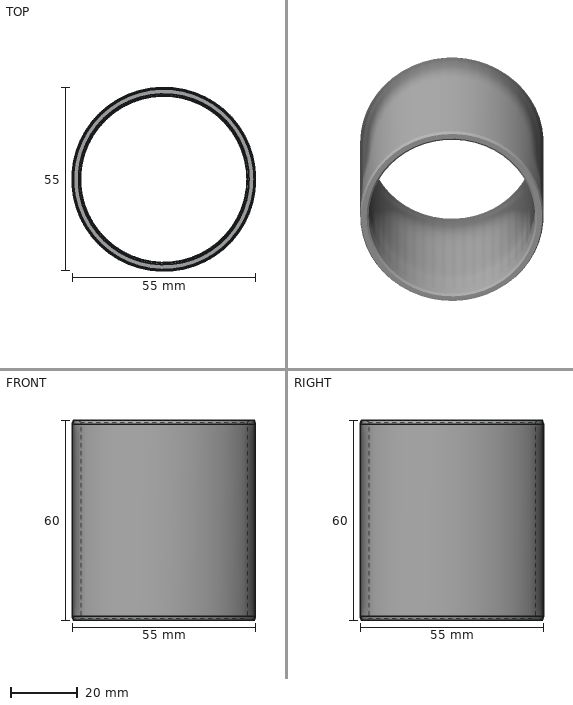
import cadquery as cq

length = 60.0
outer_diameter = 55.0
bore_diameter = 50.0

lead_in_length = 1.2
lead_in_depth = 0.4

bore_chamfer = 0.6

outer_radius = outer_diameter / 2
bore_radius = bore_diameter / 2
half_length = length / 2


def wall_section():
    """Half-section of the wall in the XZ plane: x is radius, y is height."""
    lead_in_radius = outer_radius - lead_in_depth
    chamfer_radius = bore_radius + bore_chamfer
    lead_in_height = half_length - lead_in_length
    chamfer_height = half_length - bore_chamfer
    return (
        cq.Workplane("XZ")
        .moveTo(bore_radius, -chamfer_height)
        .lineTo(chamfer_radius, -half_length)
        .lineTo(lead_in_radius, -half_length)
        .lineTo(outer_radius, -lead_in_height)
        .lineTo(outer_radius, lead_in_height)
        .lineTo(lead_in_radius, half_length)
        .lineTo(chamfer_radius, half_length)
        .lineTo(bore_radius, chamfer_height)
        .close()
    )


result = wall_section().revolve(360, (0, 0), (0, 1))